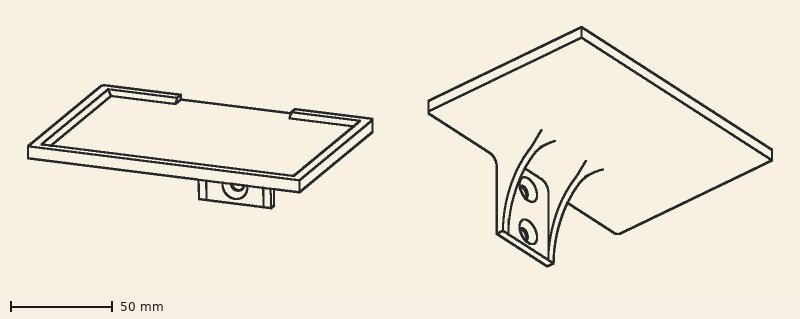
import cadquery as cq

tray_width = 143
tray_depth = 100.5
tray_thickness = 6.3
back_corner_radius = 2.0
rim_width = 5.1
recess_depth = 2.5
recess_slope_run = recess_depth
rim_gap = 60

total_height = 51.5
bracket_height = total_height - tray_thickness
bracket_width = 38.0
rib_thickness = 4.0
bracket_reach = 35.0
back_plate_thickness = 4.1
flare_radius = 5.1

hole_diameter = 6.6
countersink_diameter = 13.0
countersink_depth = (countersink_diameter - hole_diameter) / 2
lower_hole_height = 9.0
hole_spacing = 25.0


def make_tray():
    """Shallow tray with sloped recess walls and a gap in its back rim."""
    tray = (
        cq.Workplane("XY")
        .box(tray_width, tray_depth, tray_thickness, centered=(True, False, False))
        .translate((0, -tray_depth, 0))
        .edges("|Z and >Y")
        .fillet(back_corner_radius)
    )
    recess_width = tray_width - 2 * rim_width
    recess_length = tray_depth - 2 * rim_width
    floor_height = tray_thickness - recess_depth
    recess = (
        cq.Workplane("XY", origin=(0, -tray_depth / 2, floor_height))
        .rect(recess_width - 2 * recess_slope_run, recess_length - 2 * recess_slope_run)
        .workplane(offset=recess_depth)
        .rect(recess_width, recess_length)
        .loft(ruled=True)
    )
    gap_length = rim_width + recess_slope_run
    gap = (
        cq.Workplane("XY", origin=(0, -gap_length / 2, floor_height))
        .rect(rim_gap, gap_length)
        .extrude(recess_depth)
    )
    return tray.cut(recess).cut(gap)


def flared_section(half_width, flare):
    """Front outline extruded toward -Y; its sides curve by `flare` on meeting the tray."""
    return (
        cq.Workplane("XZ")
        .moveTo(-half_width, -bracket_height)
        .lineTo(half_width, -bracket_height)
        .lineTo(half_width, -flare_radius)
        .radiusArc((half_width + flare, 0), flare)
        .lineTo(-half_width - flare, 0)
        .radiusArc((-half_width, -flare_radius), flare)
        .close()
        .extrude(bracket_reach)
    )


def make_bracket():
    """Back plate with two side ribs whose front edges follow a quarter ellipse."""
    outer = flared_section(bracket_width / 2, flare_radius)
    inner = flared_section(bracket_width / 2 - rib_thickness, -flare_radius)
    channel = inner.translate((0, -back_plate_thickness, 0))

    side_profile = (
        cq.Workplane("YZ")
        .rect(2 * bracket_reach, 2 * bracket_height)
        .extrude(tray_width / 2, both=True)
    )
    ellipse_cut = (
        cq.Workplane("YZ", origin=(0, -bracket_reach, -bracket_height))
        .ellipse(bracket_reach - back_plate_thickness, bracket_height)
        .extrude(tray_width / 2, both=True)
    )
    return outer.intersect(side_profile.cut(ellipse_cut)).cut(channel)


def make_screw_hole(height):
    """Through hole with a cone opening toward -Y, at a height above the bracket's foot."""
    front = cq.Workplane("XZ", origin=(0, -back_plate_thickness, height - bracket_height))
    bore = front.circle(hole_diameter / 2).extrude(-back_plate_thickness)
    cone = (
        front.circle(countersink_diameter / 2)
        .workplane(offset=-countersink_depth)
        .circle(hole_diameter / 2)
        .loft(ruled=True)
    )
    return bore.union(cone)


result = make_tray().union(make_bracket())
for hole_height in (lower_hole_height, lower_hole_height + hole_spacing):
    result = result.cut(make_screw_hole(hole_height))